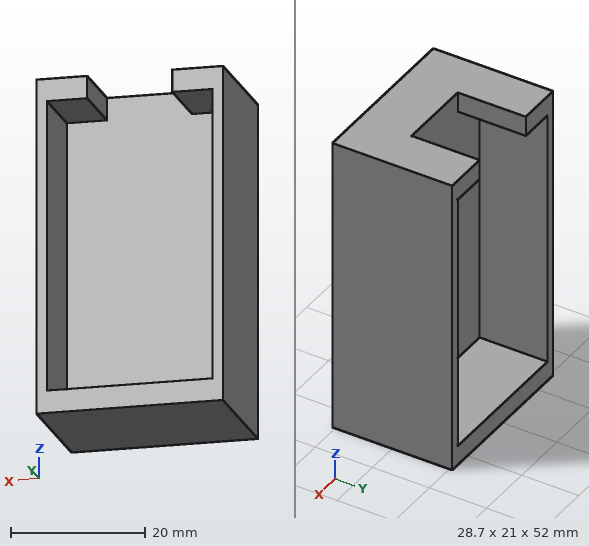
import cadquery as cq

width = 28.7
depth = 21.0
height = 52.0

slot_width = 13.1
slot_depth = 11.9

side_wall = 1.6
end_wall = 3.5
cavity_width = width - 2 * side_wall
cavity_height = height - 2 * end_wall


def back_opening(opening_width, bottom, opening_height):
    """Box of slot depth, centred across the width and flush with the back face."""
    return (
        cq.Workplane("XY")
        .box(opening_width, slot_depth, opening_height, centered=(True, False, False))
        .translate((0, depth / 2 - slot_depth, bottom))
    )


block = cq.Workplane("XY").box(width, depth, height, centered=(True, True, False))
cavity = back_opening(cavity_width, end_wall, cavity_height)
top_slot = back_opening(slot_width, end_wall, height - end_wall)

result = block.cut(cavity).cut(top_slot)